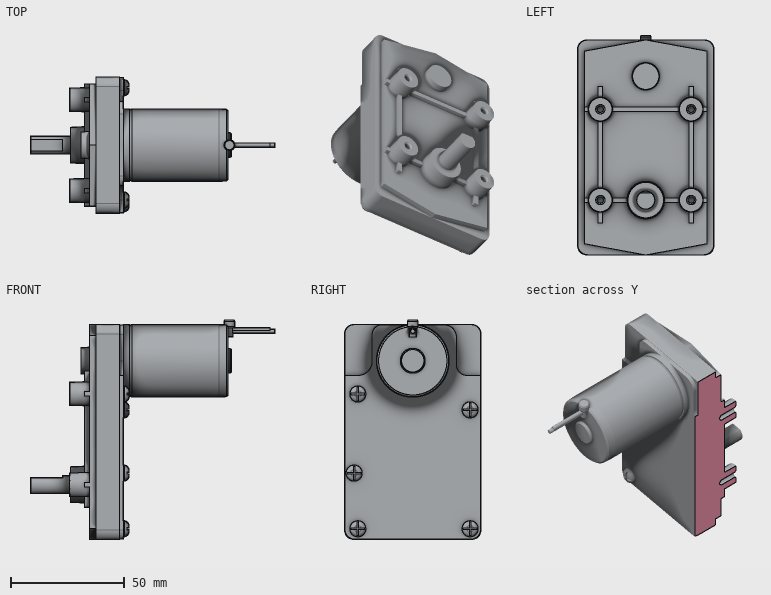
import cadquery as cq

shaft_flat_end_x = 14.1
standoff_front_x = 17.2
hub_front_x = 17.5
upper_boss_front_x = 22.1
rib_front_x = 23.6
panel_front_x = 25.8
box_front_x = 28.7
cover_front_x = 39.0
cover_back_x = 40.8

box_width = 60.0
box_bottom_z = -24.2
motor_z = 54.5
motor_radius = 16.0
box_top_z = motor_z + motor_radius
box_corner_radius = 4.3
panel_width = 53.9
panel_peak_rise = 4.9

cover_inset = 0.2
shoulder_z = 48.0
neck_right_half = 17.8
neck_right_root_radius = 6.3
neck_right_tip_radius = 4.2
neck_left_half = 19.2
neck_left_root_radius = 4.7
neck_left_tip_radius = 5.5

shaft_radius = 4.0
shaft_flat_z = 3.1
hub_tip_radius = 7.8
hub_base_radius = 8.3
upper_boss_tip_radius = 5.8
upper_boss_base_radius = 6.0

standoff_pitch = 40.0
standoff_tip_radius = 5.2
standoff_base_radius = 5.4
standoff_hole_radius = 1.4
standoff_hole_mouth_radius = 2.0
standoff_hole_depth = panel_front_x - standoff_front_x
standoff_hole_tip_height = 0.9
rib_width = 1.9
rib_overhang = 10.0

screw_head_radius = 3.5
screw_rim_height = 0.5
screw_shoulder_height = 1.5
screw_shoulder_radius = 3.1
screw_head_height = 2.5
screw_tip_radius = 1.5
screw_slot_width = 0.8
screw_slot_floor = 1.6
screw_positions = [(25.2, 32.9), (25.2, -19.4), (-24.2, 39.8), (-25.8, 5.0), (-24.2, -19.4)]

groove_start_x = 43.4
groove_end_x = 44.7
groove_depth = 0.5
cap_start_x = 82.8
cap_edge_x = 86.1
motor_end_x = 86.9
cap_edge_radius = 15.8
bearing_end_x = 88.3
bearing_radius = 5.5
bearing_chamfer = 0.5

knob_x = 87.4
knob_radius = 2.4
knob_bottom_z = 68.8
knob_top_z = 72.5
knob_chamfer_height = 0.8
knob_chamfer_width = 0.3
post_radius = 1.6
post_bottom_z = 65.0
wire_radius = 1.0
wire_start_x = 88.1
lower_wire_end_x = 107.4
lower_wire_z = 67.5
upper_wire_end_x = 105.4
upper_wire_z = 68.1


def side_plane(x):
    """Sketch plane facing +X, with local axes Y and Z."""
    return cq.Workplane("YZ", origin=(x, 0, 0))


def bar(x_start, x_end, width, z_bottom, z_top, y=0):
    """Rectangular block between two X and two Z positions, centred on y."""
    size = (x_end - x_start, width, z_top - z_bottom)
    centre = ((x_start + x_end) / 2, y, (z_bottom + z_top) / 2)
    return cq.Workplane("XY").box(*size).translate(centre)


def turned(profile, y, z):
    """Solid of revolution about an X-parallel axis; the profile lists (x, radius) from end to end."""
    outline = [(profile[0][0], 0)] + profile
    if profile[-1][1] > 0:
        outline.append((profile[-1][0], 0))
    solid = cq.Workplane("XY").polyline(outline).close().revolve(360, (0, 0, 0), (1, 0, 0))
    return solid.translate((0, y, z))


def make_box():
    box = bar(box_front_x, cover_front_x, box_width, box_bottom_z, box_top_z)
    return box.edges("|X").fillet(box_corner_radius)


def make_panel():
    half = panel_width / 2
    low = box_bottom_z + panel_peak_rise
    high = box_top_z - panel_peak_rise
    outline = [(-half, low), (0, box_bottom_z), (half, low), (half, high), (0, box_top_z), (-half, high)]
    return side_plane(panel_front_x).polyline(outline).close().extrude(box_front_x - panel_front_x)


def make_cover():
    thickness = cover_back_x - cover_front_x
    width = box_width - 2 * cover_inset
    bottom = box_bottom_z + cover_inset
    top = box_top_z - cover_inset
    plate = bar(cover_front_x, cover_back_x, width, bottom, shoulder_z)
    plate = plate.edges("|X and <Z").fillet(box_corner_radius - cover_inset)

    right_root_y = -neck_right_half - neck_right_root_radius
    right_root_z = shoulder_z + neck_right_root_radius
    right_tip_y = neck_right_tip_radius - neck_right_half
    right_tip_z = top - neck_right_tip_radius
    left_root_y = neck_left_half + neck_left_root_radius
    left_root_z = shoulder_z + neck_left_root_radius
    left_tip_y = neck_left_half - neck_left_tip_radius
    left_tip_z = top - neck_left_tip_radius

    neck = (
        side_plane(cover_front_x)
        .moveTo(right_root_y, 0)
        .lineTo(right_root_y, shoulder_z)
        .radiusArc((-neck_right_half, right_root_z), -neck_right_root_radius)
        .lineTo(-neck_right_half, right_tip_z)
        .radiusArc((right_tip_y, top), neck_right_tip_radius)
        .lineTo(left_tip_y, top)
        .radiusArc((neck_left_half, left_tip_z), neck_left_tip_radius)
        .lineTo(neck_left_half, left_root_z)
        .radiusArc((left_root_y, shoulder_z), -neck_left_root_radius)
        .lineTo(left_root_y, 0)
        .close()
        .extrude(thickness)
    )
    return plate.union(neck)


def make_screw_head(y, z):
    """Rounded pan head with a cross slot, standing on the back of the cover."""
    head = (
        cq.Workplane("XY")
        .lineTo(0, screw_head_radius)
        .lineTo(screw_rim_height, screw_head_radius)
        .threePointArc((screw_shoulder_height, screw_shoulder_radius), (screw_head_height, screw_tip_radius))
        .lineTo(screw_head_height, 0)
        .close()
        .revolve(360, (0, 0, 0), (1, 0, 0))
    )
    span = 2 * screw_head_radius
    half_slot = screw_slot_width / 2
    head = head.cut(bar(screw_slot_floor, screw_head_height, span, -half_slot, half_slot))
    half_span = span / 2
    head = head.cut(bar(screw_slot_floor, screw_head_height, screw_slot_width, -half_span, half_span))
    return head.translate((cover_back_x, y, z))


def make_standoff(y, z):
    return turned([(standoff_front_x, standoff_tip_radius), (panel_front_x, standoff_base_radius)], y, z)


def make_standoff_hole(y, z):
    mouth = standoff_hole_mouth_radius - standoff_hole_radius
    profile = [
        (standoff_front_x, standoff_hole_mouth_radius),
        (standoff_front_x + mouth, standoff_hole_radius),
        (standoff_front_x + standoff_hole_depth, standoff_hole_radius),
        (standoff_front_x + standoff_hole_depth + standoff_hole_tip_height, 0),
    ]
    return turned(profile, y, z)


def make_shaft():
    shaft = turned([(0, shaft_radius), (panel_front_x, shaft_radius)], 0, 0)
    return shaft.cut(bar(0, shaft_flat_end_x, 2 * shaft_radius, shaft_flat_z, shaft_radius))


def make_motor():
    groove_radius = motor_radius - groove_depth
    body = [
        (cover_back_x, motor_radius),
        (groove_start_x, motor_radius),
        (groove_start_x, groove_radius),
        (groove_end_x, motor_radius),
        (cap_start_x, motor_radius),
        (cap_edge_x, cap_edge_radius),
        (motor_end_x, cap_edge_radius - (motor_end_x - cap_edge_x)),
        (motor_end_x, bearing_radius),
        (bearing_end_x - bearing_chamfer, bearing_radius),
        (bearing_end_x, bearing_radius - bearing_chamfer),
    ]
    return turned(body, 0, motor_z)


def make_terminal():
    """Chamfered knob on a thinner post that is let into the end of the motor."""
    height = knob_top_z - knob_bottom_z
    knob = cq.Workplane("XY", origin=(knob_x, 0, knob_bottom_z)).circle(knob_radius).extrude(height)
    knob = knob.faces("<Z or >Z").chamfer(knob_chamfer_height, knob_chamfer_width)
    post = cq.Workplane("XY", origin=(knob_x, 0, post_bottom_z)).circle(post_radius)
    return knob.union(post.extrude(knob_bottom_z - post_bottom_z))


def make_wire(end_x, z):
    return turned([(wire_start_x, wire_radius), (end_x, wire_radius)], 0, z)


result = make_box().union(make_panel()).union(make_cover())
for y, z in screw_positions:
    result = result.union(make_screw_head(y, z))

for y in (-standoff_pitch / 2, standoff_pitch / 2):
    rib_top = standoff_pitch + rib_overhang
    result = result.union(bar(rib_front_x, panel_front_x, rib_width, -rib_overhang, rib_top, y))
for z in (0, standoff_pitch):
    half = rib_width / 2
    result = result.union(bar(rib_front_x, panel_front_x, panel_width, z - half, z + half))

standoff_centres = [(s * standoff_pitch / 2, z) for s in (-1, 1) for z in (0, standoff_pitch)]
for y, z in standoff_centres:
    result = result.union(make_standoff(y, z)).cut(make_standoff_hole(y, z))

result = result.union(turned([(hub_front_x, hub_tip_radius), (panel_front_x, hub_base_radius)], 0, 0))
result = result.union(make_shaft())
upper_boss = [(upper_boss_front_x, upper_boss_tip_radius), (panel_front_x, upper_boss_base_radius)]
result = result.union(turned(upper_boss, 0, motor_z))

result = result.union(make_motor())
result = result.union(make_terminal())
result = result.union(make_wire(lower_wire_end_x, lower_wire_z))
result = result.union(make_wire(upper_wire_end_x, upper_wire_z))